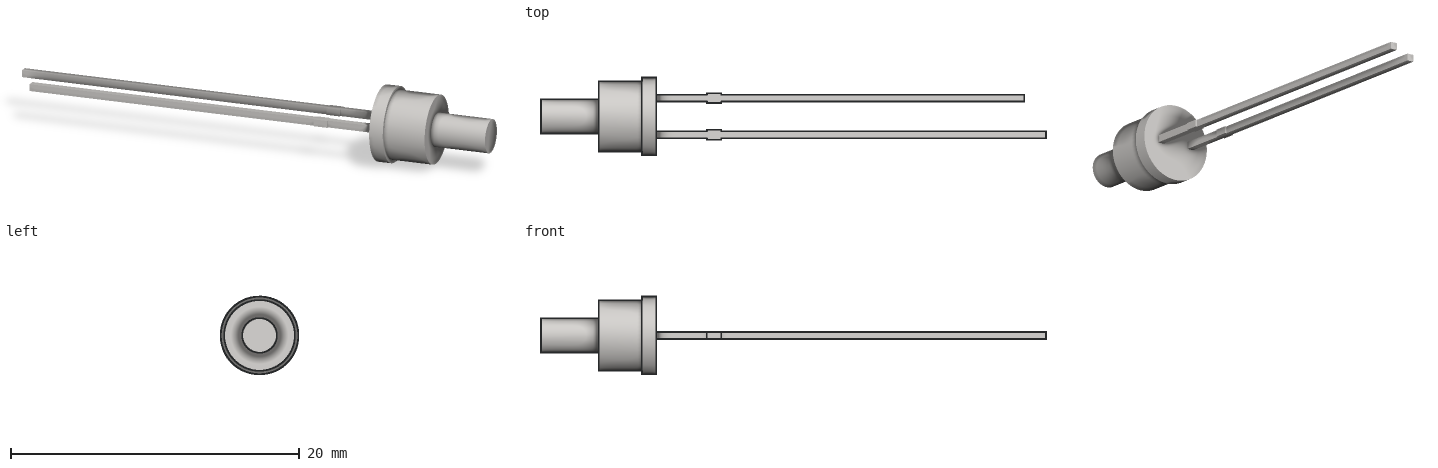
import cadquery as cq

total_length = 35.0

lens_diameter = 2.4
lens_length = 4.0
body_diameter = 4.9
body_length = 3.0
flange_diameter = 5.4
flange_thickness = 1.0

lead_width = 0.5
lead_pitch = 2.54
lead_length_difference = 1.5

standoff_width = 0.7
standoff_length = 1.0
standoff_gap = 3.5

body_start = lens_length
flange_start = body_start + body_length
lead_start = flange_start + flange_thickness
standoff_start = lead_start + standoff_gap
long_lead_end = total_length
short_lead_end = long_lead_end - lead_length_difference


def disc(start, length, diameter):
    """Cylinder on the X axis."""
    return cq.Workplane("YZ").workplane(offset=start).circle(diameter / 2).extrude(length)


def bar(start, end, y_center, width):
    """Rectangular bar along X, as thick in Z as a lead."""
    return (
        cq.Workplane("YZ")
        .workplane(offset=start)
        .center(y_center, 0)
        .rect(width, lead_width)
        .extrude(end - start)
    )


def lead(y_center, end):
    """Lead rising from the flange face, with its standoff."""
    wire = bar(lead_start, end, y_center, lead_width)
    standoff = bar(standoff_start, standoff_start + standoff_length, y_center, standoff_width)
    return wire.union(standoff)


def body():
    """Lens, main barrel and flange."""
    lens = disc(0, lens_length, lens_diameter)
    barrel = disc(body_start, body_length, body_diameter)
    flange = disc(flange_start, flange_thickness, flange_diameter)
    return lens.union(barrel).union(flange)


long_lead = lead(-lead_pitch / 2, long_lead_end)
short_lead = lead(lead_pitch / 2, short_lead_end)
result = body().union(long_lead).union(short_lead)